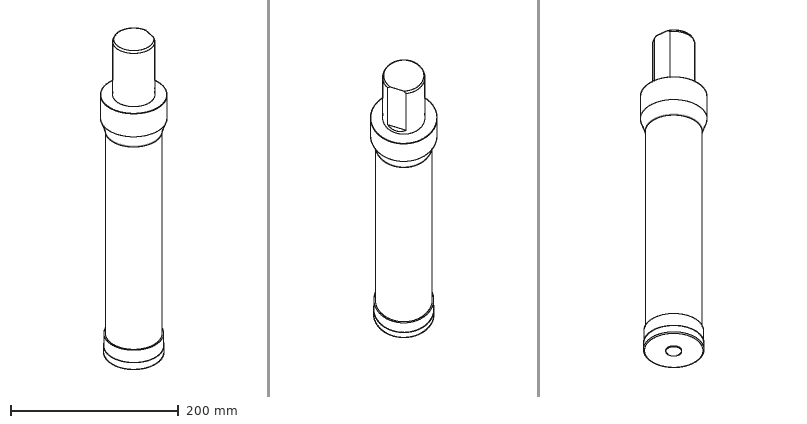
import cadquery as cq

total_height = 456.0

rod_radius = 50.5 / 2
rod_chamfer_height = 3.0
rod_chamfer_depth = 1.5
rod_flat_offset = 22.5
flat_start_above_collar = 4.0

tube_radius = 68.0 / 2
collar_radius = 80.0 / 2
foot_radius = 71.5 / 2
end_cap_radius = 72.5 / 2
boss_radius = 9.5
neck_lip = 0.25

boss_height = 1.5
foot_chamfer = 1.5
end_cap_top_z = 12.5
foot_top_z = 30.0
neck_bottom_z = 323.5
neck_lip_height = 1.5
collar_bottom_z = 342.0
collar_top_z = 375.7
collar_chamfer = 0.5
neck_sag = 0.25


def make_housing():
    """Tube with a foot that ends in a slightly wider cap, a flared collar and a blind socket for the rod."""
    lip_radius = tube_radius + neck_lip
    lip_top_z = neck_bottom_z + neck_lip_height
    flare_middle = (
        (lip_radius + collar_radius) / 2 - neck_sag,
        (lip_top_z + collar_bottom_z) / 2,
    )
    body = (
        cq.Workplane("XZ")
        .moveTo(0, 0)
        .lineTo(boss_radius, 0)
        .lineTo(boss_radius, boss_height)
        .lineTo(end_cap_radius - foot_chamfer, boss_height)
        .lineTo(end_cap_radius, boss_height + foot_chamfer)
        .lineTo(end_cap_radius, end_cap_top_z)
        .lineTo(foot_radius, end_cap_top_z)
        .lineTo(foot_radius, foot_top_z)
        .lineTo(tube_radius, foot_top_z)
        .lineTo(tube_radius, neck_bottom_z)
        .lineTo(lip_radius, neck_bottom_z)
        .lineTo(lip_radius, lip_top_z)
        .threePointArc(flare_middle, (collar_radius, collar_bottom_z))
        .lineTo(collar_radius, collar_top_z - collar_chamfer)
        .lineTo(collar_radius - collar_chamfer, collar_top_z)
        .lineTo(0, collar_top_z)
        .close()
        .revolve(360, (0, 0, 0), (0, 1, 0))
    )
    socket = (
        cq.Workplane("XY", origin=(0, 0, collar_bottom_z))
        .circle(rod_radius)
        .extrude(collar_top_z - collar_bottom_z)
    )
    return body.cut(socket)


def make_rod():
    """Rod seated in the collar, with a long flat that runs out in a 45 degree slope."""
    rod = (
        cq.Workplane("XY", origin=(0, 0, collar_bottom_z))
        .circle(rod_radius)
        .extrude(total_height - collar_bottom_z)
        .faces(">Z")
        .chamfer(rod_chamfer_height, rod_chamfer_depth)
    )
    flat_depth = rod_radius - rod_flat_offset
    flat_start_z = collar_top_z + flat_start_above_collar
    flat_cutter = (
        cq.Workplane("YZ")
        .moveTo(rod_radius, flat_start_z)
        .lineTo(rod_flat_offset, flat_start_z + flat_depth)
        .lineTo(rod_flat_offset, total_height)
        .lineTo(rod_radius, total_height)
        .close()
        .extrude(rod_radius, both=True)
    )
    return rod.cut(flat_cutter)


housing = make_housing()
rod = make_rod()

result = cq.Compound.makeCompound([housing.val(), rod.val()])